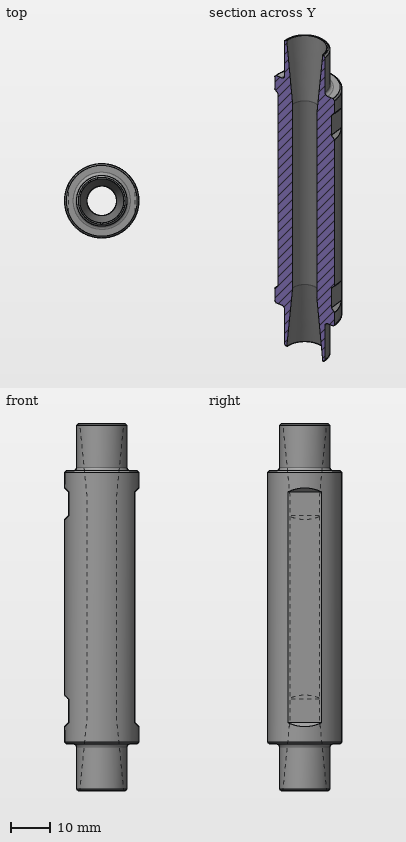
import cadquery as cq
import math

LENGTH = 94.0
BODY_DIAMETER = 19.1
NECK_DIAMETER = 13.0
NECK_LENGTH = 12.0
BODY_CHAMFER = 0.5
NECK_CHAMFER = 0.5
ROOT_FILLET = 0.8

THROUGH_DIAMETER = 7.5
TAPER_DIAMETER = 11.3
TAPER_END = 18.8

FLAT_DEPTH = 1.0
POCKET_FLOOR_LENGTH = 6.0
FLAT_END_MARGIN = 16.45

body_radius = BODY_DIAMETER / 2
neck_radius = NECK_DIAMETER / 2
through_radius = THROUGH_DIAMETER / 2
taper_radius = TAPER_DIAMETER / 2
mid_height = LENGTH / 2


def at_both_ends(lower_end):
    """The given lower-end solid together with its mirror image at the upper end."""
    return lower_end.union(lower_end.mirror("XY", (0, 0, mid_height)))


def make_body():
    """Main cylinder with chamfered rims."""
    return (
        cq.Workplane("XY", origin=(0, 0, NECK_LENGTH))
        .circle(body_radius)
        .extrude(LENGTH - 2 * NECK_LENGTH)
        .edges("%CIRCLE")
        .chamfer(BODY_CHAMFER)
    )


def make_neck():
    """Lower neck with a chamfered tip and a concave fillet where it meets the body."""
    root_middle = ROOT_FILLET * (1 - math.sqrt(0.5))
    return (
        cq.Workplane("XZ")
        .lineTo(neck_radius - NECK_CHAMFER, 0)
        .lineTo(neck_radius, NECK_CHAMFER)
        .lineTo(neck_radius, NECK_LENGTH - ROOT_FILLET)
        .threePointArc(
            (neck_radius + root_middle, NECK_LENGTH - root_middle),
            (neck_radius + ROOT_FILLET, NECK_LENGTH),
        )
        .lineTo(0, NECK_LENGTH)
        .close()
        .revolve(360, (0, 0, 0), (0, 1, 0))
    )


def make_socket_cutter():
    """Long taper that narrows to the through bore at the lower end."""
    return (
        cq.Workplane("XZ")
        .lineTo(taper_radius, 0)
        .lineTo(through_radius, TAPER_END)
        .lineTo(0, TAPER_END)
        .close()
        .revolve(360, (0, 0, 0), (0, 1, 0))
    )


def make_shaft():
    """Body with a neck at each end and a bore that widens towards both ends."""
    solid = make_body().union(at_both_ends(make_neck()))
    through_bore = cq.Workplane("XY").circle(through_radius).extrude(LENGTH)
    return solid.cut(through_bore).cut(at_both_ends(make_socket_cutter()))


def flat_cutter(side, center_height, floor_length):
    """Trapezoidal cutter for a flat on the +X (side = 1) or -X (side = -1) face."""
    half_floor = floor_length / 2
    half_opening = half_floor + FLAT_DEPTH
    floor_x = side * (body_radius - FLAT_DEPTH)
    surface_x = side * body_radius
    return (
        cq.Workplane("XZ")
        .polyline([
            (floor_x, center_height - half_floor),
            (floor_x, center_height + half_floor),
            (surface_x, center_height + half_opening),
            (surface_x, center_height - half_opening),
        ])
        .close()
        .extrude(body_radius, both=True)
    )


result = make_shaft()

pocket_center = FLAT_END_MARGIN + FLAT_DEPTH + POCKET_FLOOR_LENGTH / 2
for height in (pocket_center, LENGTH - pocket_center):
    result = result.cut(flat_cutter(-1, height, POCKET_FLOOR_LENGTH))

long_floor_length = LENGTH - 2 * (FLAT_END_MARGIN + FLAT_DEPTH)
result = result.cut(flat_cutter(1, mid_height, long_floor_length))